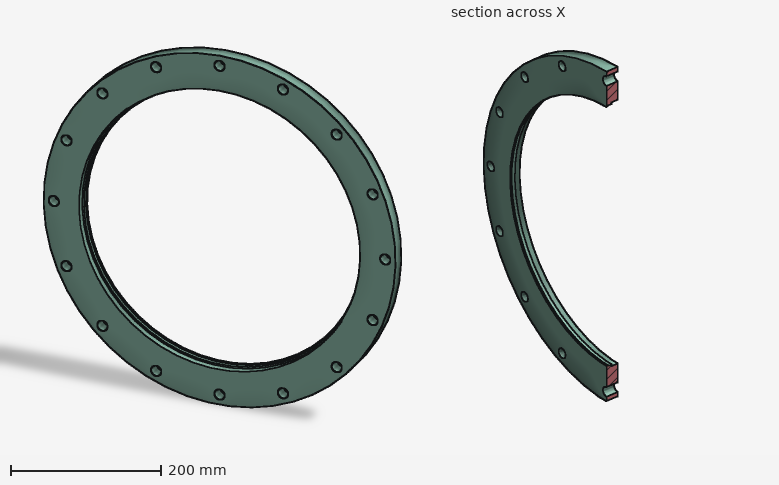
import cadquery as cq

outer_diameter = 510.0
thickness = 20.0
rim_chamfer = 0.35

socket_diameter = 407.0
socket_depth = 10.5
bore_diameter = 402.0
lip_diameter = 400.0
lip_thickness = 2.8

bolt_count = 16
bolt_circle_diameter = 480.0
bolt_hole_diameter = 14.5
hole_chamfer = 0.5


def ring_body():
    """Ring with its stepped bore and chamfered front rim, revolved from its section."""
    outer_radius = outer_diameter / 2
    socket_radius = socket_diameter / 2
    bore_radius = bore_diameter / 2
    lip_radius = lip_diameter / 2
    lip_front = thickness - lip_thickness
    section = [
        (0, socket_radius),
        (socket_depth, socket_radius),
        (socket_depth, bore_radius),
        (lip_front, bore_radius),
        (lip_front, lip_radius),
        (thickness, lip_radius),
        (thickness, outer_radius),
        (rim_chamfer, outer_radius),
        (0, outer_radius - rim_chamfer),
    ]
    return cq.Workplane("YZ").polyline(section).close().revolve(360, (0, 0, 0), (1, 0, 0))


def bolt_hole():
    """Cutter for one through hole on the Y axis, flared at the front by a small chamfer."""
    radius = bolt_hole_diameter / 2
    section = [
        (0, 0),
        (0, radius + hole_chamfer),
        (hole_chamfer, radius),
        (thickness, radius),
        (thickness, 0),
    ]
    return cq.Workplane("YZ").polyline(section).close().revolve(360, (0, 0, 0), (1, 0, 0))


result = ring_body()
hole_at_x = bolt_hole().translate((bolt_circle_diameter / 2, 0, 0))
for index in range(bolt_count):
    angle = index * 360 / bolt_count
    result = result.cut(hole_at_x.rotate((0, 0, 0), (0, 1, 0), angle))